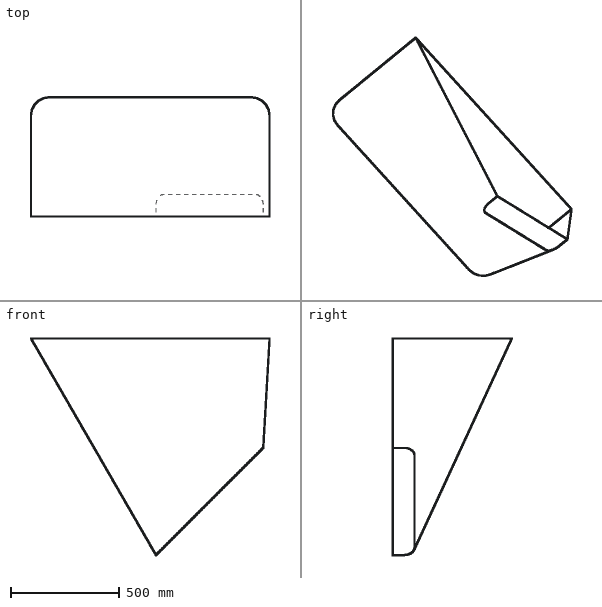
import cadquery as cq
import math

width = 1102.0
depth = 551.0
height = 1000.0
top_radius = 86.0

floor_low_x = 26.0
floor_length = 701.0
floor_depth = 102.0
floor_radius = 50.0
floor_slope = math.radians(45)

wall = 1.2
front_overrun = 11.0
corner_facets = 5
flatness = 1.1e-05


def plate_outline(length, rear, front, radius):
    """Points (along, y) from the front left, round the two rear corners, to the front right."""
    corners = [(radius, math.pi), (length - radius, math.pi / 2)]
    points = [(0, front)]
    for center, start in corners:
        for step in range(corner_facets + 1):
            angle = start - step * math.pi / 2 / corner_facets
            points.append((center + radius * math.cos(angle), rear - radius + radius * math.sin(angle)))
    points.append((length, front))
    return points


def top_plate(inset, front):
    outline = plate_outline(width - 2 * inset, depth - inset, front, top_radius - inset)
    return [cq.Vector(inset - width / 2 + along, y, -inset) for along, y in outline]


def bottom_plate(inset, front):
    outline = plate_outline(floor_length - 2 * inset, floor_depth - inset, front, floor_radius - inset)
    along_x = math.cos(floor_slope)
    along_z = math.sin(floor_slope)
    start_x = floor_low_x + inset * (along_x - along_z)
    start_z = -height + inset * (along_z + along_x)
    return [cq.Vector(start_x + along * along_x, y, start_z + along * along_z) for along, y in outline]


def is_outermost(corner, left, right, others):
    """True when no other point lies outside the plane through the three given points."""
    normal = (right - corner).cross(left - corner)
    return all(normal.dot(point - corner) < flatness * normal.Length for point in others)


def wall_triangles(top, bottom):
    """Triangles of the convex skin that wraps from one plate edge to the other."""
    triangles = []
    i = 0
    j = 0
    last = len(top) - 1
    while i < last or j < last:
        on_top = i < last and is_outermost(top[i], bottom[j], top[i + 1], top + bottom)
        if on_top or j == last:
            triangles.append((top[i], bottom[j], top[i + 1]))
            i += 1
        else:
            triangles.append((top[i], bottom[j], bottom[j + 1]))
            j += 1
    return triangles


def stretched_body(inset, front):
    """Solid convex body between the two plates, with every plate edge drawn in by the inset."""
    top = top_plate(inset, front)
    bottom = bottom_plate(inset, front)
    front_face = [top[0], top[-1], bottom[-1], bottom[0]]
    outlines = [top, bottom, front_face] + wall_triangles(top, bottom)
    faces = [cq.Face.makeFromWires(cq.Wire.makePolygon(points, close=True)) for points in outlines]
    return cq.Workplane(cq.Solid.makeSolid(cq.Shell.makeShell(faces))).clean()


outside = stretched_body(0, 0)
cavity = stretched_body(wall, -front_overrun)
result = outside.cut(cavity)